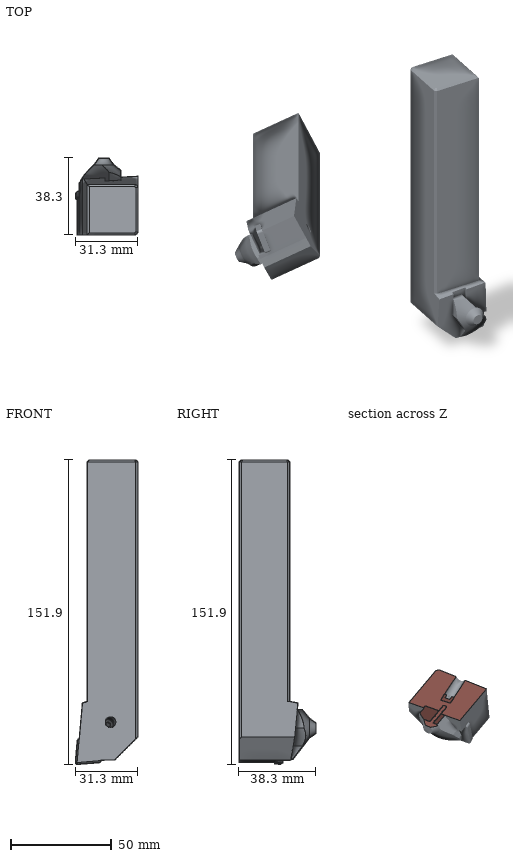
import cadquery as cq
import math

TOTAL_X = 31.3
TOTAL_Y = 38.3
TOTAL_Z = 151.9

SHANK_X = 25.4
SHANK_Y = 25.2
END_CHAMFER = 1.0
EDGE_CHAMFER = 1.2
SHANK_LEFT = TOTAL_X - SHANK_X

EDGE_ANGLE = math.radians(5)
EDGE_SLOPE = math.tan(EDGE_ANGLE)
HEAD_CORNER = 0.9
HEAD_LEVEL_X = 14.6
BEVEL_X = 19.6
SHOULDER_HIGH = 31.5
SHOULDER_LOW = 30.7
HEAD_LEFT = HEAD_CORNER + (SHOULDER_LOW - HEAD_CORNER) * EDGE_SLOPE
HEAD_BOTTOM = HEAD_CORNER + (HEAD_LEVEL_X - HEAD_CORNER) * EDGE_SLOPE

HEAD_TOP_Y = 27.8
HEAD_TOP_SLOPE_X = 0.055
HEAD_TOP_SLOPE_Z = 0.1
HEAD_RIGHT_TOP_Y = HEAD_TOP_Y + HEAD_TOP_SLOPE_X * (TOTAL_X - HEAD_LEFT)

TIP_Y = 20.4
RAKE_SLOPE = math.tan(math.radians(6))
INSERT_SIDE = 12.9
INSERT_THICKNESS = 2.9
INSERT_CORNER_RADIUS = 1.2
POCKET_OVERRUN = 7.6

SCREW_X = 14.3
SCREW_Z = 18.1
CONE_TOP_RADIUS = 2.6
CONE_BASE_RADIUS = 5.0
CONE_HEIGHT = 3.3
SCREW_RADIUS = 2.3
SCREW_END_Y = 21.3
NOZZLE_TOP_Y = TOTAL_Y - CONE_HEIGHT
NOZZLE_BOTTOM_Y = 24.8
NOZZLE_FLARE = 1.3
NOZZLE_LEFT = 4.5
NOZZLE_SIDE_Z = 12.2
NOSE_X = 2.7
NOSE_Z = 5.6
NOSE_TOP_Z = 8.4
NOSE_HEEL_X = 13.7
NOZZLE_LOW_Z = 2.6
NOZZLE_WAIST_X = 17.5
NOZZLE_WAIST_Z = 9.1

TAIL_LEFT = 16.9
TAIL_RIGHT = 22.8
TAIL_Z = 27.5
RECESS_LEFT = 14.9
RECESS_LOW_Z = 19.7
RECESS_DEPTH = 1.5

LEVER_X = 17.6
LEVER_Z = 21.1
LEVER_LEAN = 0.1
LEVER_RADIUS = 2.6
LEVER_HOLE_DEPTH = 18.2
LEVER_SCREW_SINK = 13.7
LEVER_SOCKET_WIDTH = 2.5
LEVER_SOCKET_DEPTH = 2.3
LEVER_PLANE = cq.Plane((LEVER_X, 0, LEVER_Z), (1, LEVER_LEAN, 0), (-LEVER_LEAN, 1, -LEVER_LEAN))


def xz_prism(points, y_start, y_end):
    base = cq.Workplane("XZ", origin=(0, y_start, 0))
    return base.polyline(points).close().extrude(y_start - y_end)


def y_cylinder(x, z, radius, y_start, y_end):
    base = cq.Workplane("XZ", origin=(x, y_start, z))
    return base.circle(radius).extrude(y_start - y_end)


def below_head_top(depth=0):
    """Large block that ends this far below the top plane of the head."""
    origin_y = HEAD_TOP_Y - HEAD_TOP_SLOPE_X * HEAD_LEFT - HEAD_TOP_SLOPE_Z * SHOULDER_LOW - depth
    plane = cq.Plane(
        (0, origin_y, 0),
        (1, HEAD_TOP_SLOPE_X, 0),
        (-HEAD_TOP_SLOPE_X, 1, -HEAD_TOP_SLOPE_Z),
    )
    return cq.Workplane(plane).rect(TOTAL_Z, TOTAL_Z).extrude(-TOTAL_Z)


def rhombus_prism(overrun, height):
    """Rounded rhombus standing on the seat of the insert, its outer corner moved out by the overrun."""
    top = cq.Plane((0, TIP_Y, 0), (0, RAKE_SLOPE, 1), (-RAKE_SLOPE, 1, -RAKE_SLOPE))
    seat = cq.Workplane(top).workplane(offset=-INSERT_THICKNESS)
    side = INSERT_SIDE + overrun
    far = side * math.cos(EDGE_ANGLE)
    near = side * math.sin(EDGE_ANGLE)
    half_corner = math.pi / 4 - EDGE_ANGLE
    start = INSERT_CORNER_RADIUS * (1 - 1 / (math.sqrt(2) * math.sin(half_corner)))
    start -= overrun * (math.cos(EDGE_ANGLE) + math.sin(EDGE_ANGLE))
    corners = [(0, 0), (far, near), (far + near, far + near), (near, far)]
    outline = [(start + up, start + across) for up, across in corners]
    prism = seat.polyline(outline).close().extrude(height)
    normal = cq.selectors.ParallelDirSelector(top.zDir)
    return prism.edges(normal).fillet(INSERT_CORNER_RADIUS)


def make_shank():
    bar = cq.Workplane("XY", origin=(SHANK_LEFT, 0, SHOULDER_LOW))
    bar = bar.box(SHANK_X, SHANK_Y, TOTAL_Z - SHOULDER_LOW, centered=False)
    bar = bar.edges("|Z and >X").chamfer(EDGE_CHAMFER)
    return bar.faces(">Z").chamfer(END_CHAMFER)


def make_head():
    outline = [
        (HEAD_CORNER, HEAD_CORNER),
        (HEAD_LEVEL_X, HEAD_BOTTOM),
        (BEVEL_X, HEAD_BOTTOM),
        (TOTAL_X, HEAD_BOTTOM + TOTAL_X - BEVEL_X),
        (TOTAL_X, SHOULDER_HIGH),
        (SHANK_LEFT, SHOULDER_HIGH),
        (HEAD_LEFT, SHOULDER_LOW),
    ]
    head = xz_prism(outline, 0, TOTAL_Y).edges("|Z and >X and <Y").chamfer(EDGE_CHAMFER)
    side_outline = [
        (0, 0),
        (HEAD_RIGHT_TOP_Y, 0),
        (HEAD_RIGHT_TOP_Y, SHOULDER_LOW),
        (SHANK_Y, SHOULDER_HIGH),
        (0, SHOULDER_HIGH),
    ]
    side = cq.Workplane("YZ").polyline(side_outline).close().extrude(TOTAL_X)
    return head.intersect(side).intersect(below_head_top())


def tail_recess():
    width = TAIL_RIGHT - RECESS_LEFT
    block = cq.Workplane("XY", origin=(RECESS_LEFT, SHANK_Y, RECESS_LOW_Z))
    block = block.box(width, TOTAL_Y - SHANK_Y, SHOULDER_HIGH - RECESS_LOW_Z, centered=False)
    return block.cut(below_head_top(RECESS_DEPTH))


def lever_hole():
    start = cq.Workplane(LEVER_PLANE).workplane(offset=-LEVER_RADIUS)
    return start.circle(LEVER_RADIUS).extrude(LEVER_RADIUS + LEVER_HOLE_DEPTH)


def make_holder():
    holder = make_shank().union(make_head())
    holder = holder.cut(rhombus_prism(POCKET_OVERRUN, TOTAL_Y))
    holder = holder.cut(tail_recess())
    holder = holder.cut(y_cylinder(SCREW_X, SCREW_Z, SCREW_RADIUS, SCREW_END_Y, TOTAL_Y))
    return holder.cut(lever_hole())


def make_insert():
    return rhombus_prism(0, INSERT_THICKNESS)


def make_nozzle(holder):
    """Domed block from the square tail to the nose, seated on the head."""
    outline = [
        (TAIL_LEFT, TAIL_Z),
        (TAIL_RIGHT, TAIL_Z),
        (TAIL_RIGHT, SCREW_Z),
        (NOZZLE_WAIST_X, NOZZLE_WAIST_Z),
        (NOZZLE_WAIST_X, NOZZLE_LOW_Z),
        (NOSE_HEEL_X, NOZZLE_LOW_Z),
        (NOSE_X, NOSE_Z),
        (NOSE_X, NOSE_TOP_Z),
        (NOZZLE_LEFT, NOZZLE_SIDE_Z),
    ]
    block = xz_prism(outline, NOZZLE_BOTTOM_Y, NOZZLE_TOP_Y)
    height = NOZZLE_TOP_Y - NOZZLE_BOTTOM_Y
    dome = cq.Solid.makeCone(
        CONE_BASE_RADIUS,
        CONE_BASE_RADIUS + NOZZLE_FLARE * height,
        height,
        cq.Vector(SCREW_X, NOZZLE_TOP_Y, SCREW_Z),
        cq.Vector(0, -1, 0),
    )
    nozzle = block.intersect(cq.Workplane(dome)).cut(holder)
    return nozzle.cut(y_cylinder(SCREW_X, SCREW_Z, SCREW_RADIUS, SCREW_END_Y, TOTAL_Y))


def make_nozzle_screw():
    head = cq.Solid.makeCone(
        CONE_BASE_RADIUS,
        CONE_TOP_RADIUS,
        CONE_HEIGHT,
        cq.Vector(SCREW_X, NOZZLE_TOP_Y, SCREW_Z),
        cq.Vector(0, 1, 0),
    )
    shank = y_cylinder(SCREW_X, SCREW_Z, SCREW_RADIUS, SCREW_END_Y, NOZZLE_TOP_Y)
    return shank.union(cq.Workplane(head))


def make_lever_screw():
    end_face = cq.Workplane(LEVER_PLANE).workplane(offset=LEVER_SCREW_SINK)
    screw = end_face.circle(LEVER_RADIUS).extrude(LEVER_HOLE_DEPTH - LEVER_SCREW_SINK)
    socket = end_face.polygon(6, LEVER_SOCKET_WIDTH, circumscribed=True).extrude(LEVER_SOCKET_DEPTH)
    return screw.cut(socket)


holder = make_holder()
insert = make_insert()
nozzle = make_nozzle(holder)
nozzle_screw = make_nozzle_screw()
lever_screw = make_lever_screw()

bodies = [holder, insert, nozzle, nozzle_screw, lever_screw]
result = cq.Compound.makeCompound([body.solids().val() for body in bodies])